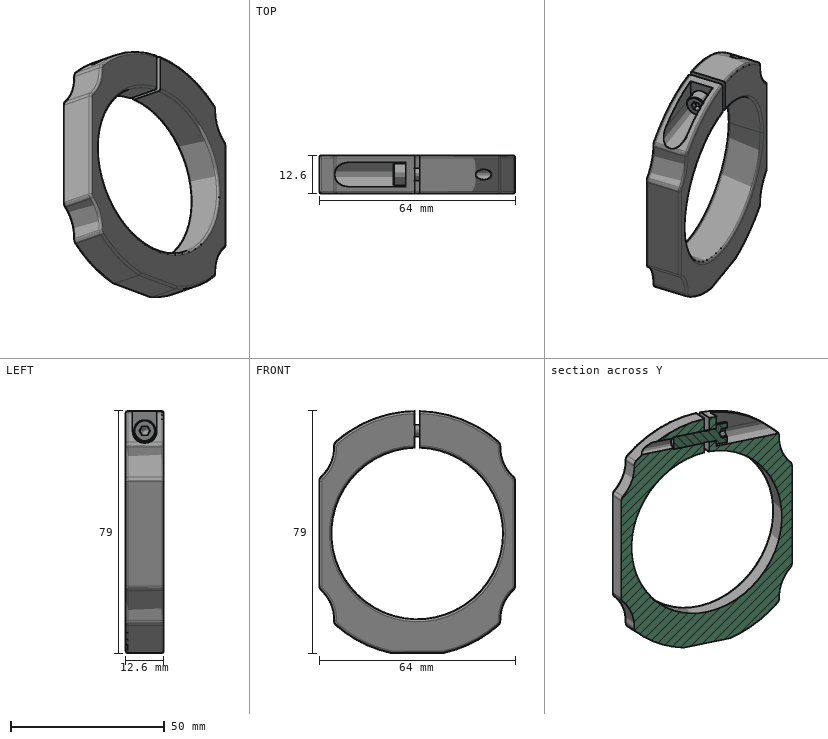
import cadquery as cq
import math

outer_radius = 40.0
bottom_flat_z = -39.0
width = 64.0
thickness = 12.55
bore_radius = 28.0
edge_round = 0.8

scallop_radius = 12.8
scallop_x = 40.0
scallop_z = 28.0
corner_round = 2.0

gap_width = 1.65

screw_z = 33.5
shank_diameter = 4.0
shank_length = 16.0
head_diameter = 7.0
head_length = 4.0
head_chamfer = 0.2
head_seat_x = -3.7
head_face_x = head_seat_x - head_length
socket_flats = 3.0
socket_depth = 2.0
socket_cone_depth = 0.95

pocket_width = 8.0
tap_diameter = 3.3


def ring_outline():
    """Outer disc cut by two side flats, a bottom flat and four scallops."""
    disc = cq.Workplane("XZ").circle(outer_radius).extrude(thickness / 2, both=True)
    flats = (
        cq.Workplane("XY")
        .box(width, thickness, outer_radius - bottom_flat_z)
        .translate((0, 0, (outer_radius + bottom_flat_z) / 2))
    )
    scallops = (
        cq.Workplane("XZ")
        .rect(2 * scallop_x, 2 * scallop_z, forConstruction=True)
        .vertices()
        .circle(scallop_radius)
        .extrude(thickness, both=True)
    )
    blank = disc.intersect(flats).cut(scallops)

    edges_along_y = cq.selectors.ParallelDirSelector(cq.Vector(0, 1, 0))
    middle = cq.selectors.BoxSelector(
        (-width / 4, -thickness, -outer_radius),
        (width / 4, thickness, outer_radius),
    )
    scallop_corners = cq.selectors.SubtractSelector(edges_along_y, middle)
    return blank.edges(scallop_corners).fillet(corner_round)


def cylinder_along_x(diameter, start_x, length):
    """Round bar on the screw axis, running toward +X from start_x."""
    return (
        cq.Workplane("YZ", origin=(start_x, 0, screw_z))
        .circle(diameter / 2)
        .extrude(length)
    )


def head_pocket():
    """U-shaped pocket for the screw head, open at the top and toward -X."""
    length = width / 2 + head_seat_x
    round_floor = cylinder_along_x(pocket_width, -width / 2, length)
    open_top = (
        cq.Workplane("XY", origin=(-width / 2, 0, screw_z))
        .box(length, pocket_width, outer_radius, centered=(False, True, False))
    )
    return round_floor.union(open_top)


def clamp_ring():
    bore = cq.Workplane("XZ").circle(bore_radius).extrude(thickness, both=True)
    ring = ring_outline().cut(bore)
    ring = ring.faces("<Y or >Y").edges().fillet(edge_round)

    gap = (
        cq.Workplane("XY")
        .box(gap_width, thickness, outer_radius, centered=(True, True, False))
    )
    screw_hole = cylinder_along_x(shank_diameter, head_seat_x, shank_length)
    tap_hole = cylinder_along_x(tap_diameter, 0, width / 2)
    return ring.cut(gap).cut(head_pocket()).cut(screw_hole).cut(tap_hole)


def hex_socket():
    """Hexagonal recess in the head that ends in a cone."""
    corner_diameter = socket_flats / math.cos(math.pi / 6)
    corner_radius = corner_diameter / 2
    hexagon = (
        cq.Workplane("YZ", origin=(head_face_x, 0, screw_z))
        .polygon(6, corner_diameter)
        .extrude(socket_depth + socket_cone_depth)
    )
    pointed_bar = (
        cq.Workplane("XY", origin=(head_face_x, 0, screw_z))
        .polyline([
            (0, 0),
            (0, corner_radius),
            (socket_depth, corner_radius),
            (socket_depth + socket_cone_depth, 0),
        ])
        .close()
        .revolve(360, (0, 0, 0), (1, 0, 0))
    )
    return hexagon.intersect(pointed_bar)


def clamp_screw():
    head = cylinder_along_x(head_diameter, head_face_x, head_length)
    head = head.faces("<X").edges().chamfer(head_chamfer)
    shank = cylinder_along_x(shank_diameter, head_seat_x, shank_length)
    return head.union(shank).cut(hex_socket())


ring = clamp_ring()
screw = clamp_screw()

result = cq.Compound.makeCompound([ring.solids().val(), screw.solids().val()])